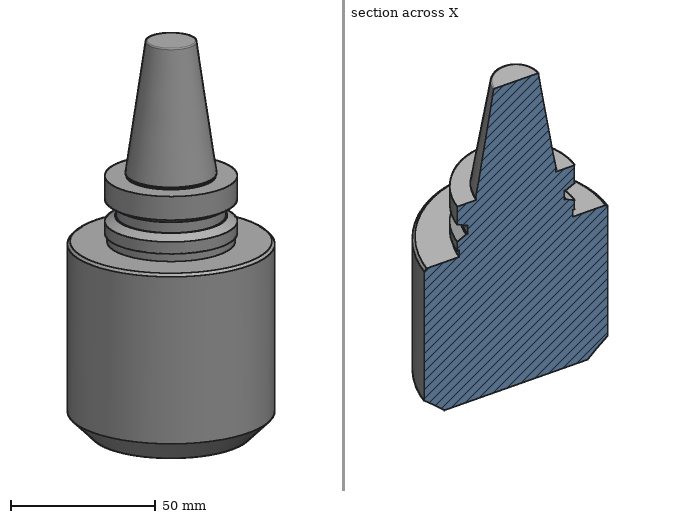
import cadquery as cq
import math


gauge_diameter = 31.75
taper_ratio = 7 / 24
taper_length = 48.4
tip_fillet = 0.5

neck_diameter = 31.15
neck_cone_height = 0.5
flange_top_z = -1.0

flange_diameter = 45.98
flange_bottom_z = -22.0
groove_floor_diameter = 38.0
groove_step = 0.5
groove_center_z = -13.6
groove_width = 8.0
groove_wall_angle = math.radians(30)

collar_diameter = 44.5

body_diameter = 72.0
body_top_z = -25.0
body_bottom_z = -95.0
body_top_chamfer = 1.0
nose_diameter = 56.0
nose_height = 8.0


def make_taper():
    """Tapered shank, standing on the gauge plane, with a rounded tip edge."""
    tip_diameter = gauge_diameter - taper_ratio * taper_length
    taper = cq.Solid.makeCone(gauge_diameter / 2, tip_diameter / 2, taper_length)
    return cq.Workplane(obj=taper).faces(">Z").fillet(tip_fillet)


def make_cylinder(diameter, bottom_z, top_z):
    """Cylinder on the Z axis between two heights."""
    return cq.Workplane("XY").workplane(offset=bottom_z).circle(diameter / 2).extrude(top_z - bottom_z)


def make_neck():
    """Cylinder under the taper, joined to the gauge diameter by a short cone."""
    cone = cq.Solid.makeCone(
        neck_diameter / 2,
        gauge_diameter / 2,
        neck_cone_height,
        pnt=cq.Vector(0, 0, -neck_cone_height),
    )
    return make_cylinder(neck_diameter, flange_top_z, 0).union(cq.Workplane(obj=cone))


def make_groove():
    """Ring that cuts the gripper groove: sloped walls, then a square recess to the floor."""
    rim_radius = flange_diameter / 2
    floor_radius = groove_floor_diameter / 2
    wall_end_radius = floor_radius + groove_step
    half_width = groove_width / 2
    half_floor = half_width - (rim_radius - wall_end_radius) * math.tan(groove_wall_angle)
    return (
        cq.Workplane("XZ", origin=(0, 0, groove_center_z))
        .moveTo(rim_radius, half_width)
        .lineTo(wall_end_radius, half_floor)
        .lineTo(floor_radius, half_floor)
        .lineTo(floor_radius, -half_floor)
        .lineTo(wall_end_radius, -half_floor)
        .lineTo(rim_radius, -half_width)
        .close()
        .revolve(360, (0, 0, 0), (0, 1, 0))
    )


def make_body():
    """Cylinder with a chamfered upper rim and a conical lower nose."""
    nose_inset = (body_diameter - nose_diameter) / 2
    return (
        make_cylinder(body_diameter, body_bottom_z, body_top_z)
        .faces(">Z").chamfer(body_top_chamfer)
        .faces("<Z").edges().chamfer(nose_height, nose_inset)
    )


flange = make_cylinder(flange_diameter, flange_bottom_z, flange_top_z).cut(make_groove())
collar = make_cylinder(collar_diameter, body_top_z, flange_bottom_z)

result = make_taper().union(make_neck()).union(flange).union(collar).union(make_body())